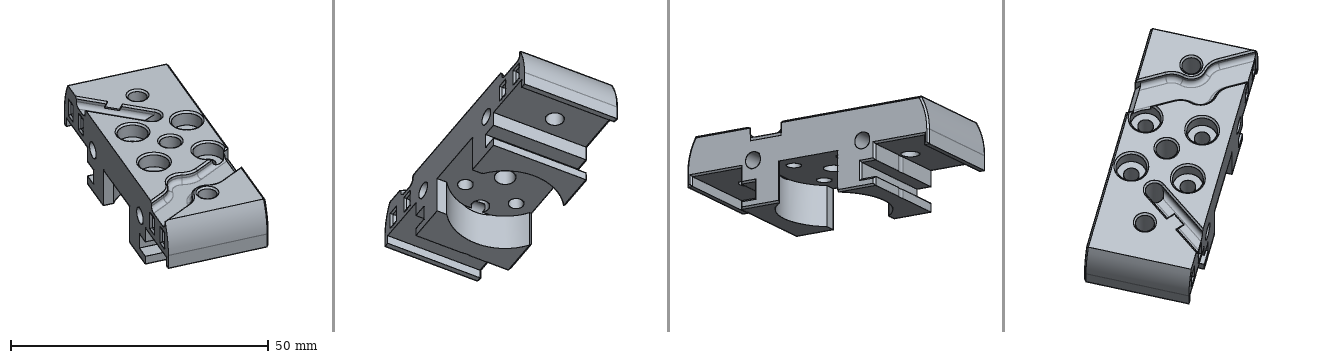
import cadquery as cq
import math

LENGTH = 55.0
DEPTH = 21.0
HEIGHT = 16.5
HALF_LENGTH = LENGTH / 2
HALF_DEPTH = DEPTH / 2
CLEAR = 0.55
EDGE_CHAMFER = 0.4

SHOULDER_HALF = 25.65
SHOULDER_Z = 9.5
SKIRT_Z = 6.5
SKIRT_WALL = 1.1
DECK_Z = 8.45
LEG_OUTER = 15.3
HOOK_INNER = 12.15
HOOK_TOP = 5.15
HOOK_BOTTOM = 1.8

RECESS_HALF = 6.95
RECESS_Z = 8.35
RECESS_RADIUS = 11.45
REAR_HALF = 6.7

HUB_X = -0.1
HUB_Y = 0.8
HUB_DIAMETER = 4.2
BOLT_PITCH_HALF = 5.65
BOLT_DIAMETER = 3.0
BOLT_BORE_DIAMETER = 6.0
BOLT_BORE_DEPTH = 3.15
SIDE_DIAMETER = 3.7
LEFT_HOLE_X = -17.5
RIGHT_HOLE_X = 19.45
LEG_RELIEF_DIAMETER = 4.7
WIRE_HOLE_X = -9.85
WIRE_DIAMETER = 3.6

CROSS_DIAMETER = 3.4
CROSS_X = 12.45
CROSS_Z = 9.5

TIE_X = 21.5
TIE_BOTTOM = 10.05
TIE_TOP = 13.1
TIE_INNER_RADIUS = 1.85
TIE_OUTER_RADIUS = 3.5

GROOVE_DEPTH = 2.0
GROOVE_FILLET = 1.0
GROOVE_REACH = 22.0
WIRE_GROOVE_ANGLE = 51.4
TAB_START = 6.65
TAB_LENGTH = 3.0
TAB_GAP = 0.2
TAB_THICKNESS = 0.35
CHANNEL_ANGLE = 59.2
CHANNEL_WIDTH = 6.05
CHANNEL_SETBACK = 0.55
BEND_RADIUS = 3.0
FLANK_RADIUS = 4.0
CHANNEL_EXIT = 1.0


def make_body():
    drop = HEIGHT - SHOULDER_Z
    inset = HALF_LENGTH - SHOULDER_HALF
    radius = (drop ** 2 + inset ** 2) / (2 * inset)
    half_angle = math.asin(drop / radius) / 2
    bulge_x = HALF_LENGTH - radius * (1 - math.cos(half_angle))
    bulge_z = SHOULDER_Z + radius * math.sin(half_angle)
    skirt_inner = HALF_LENGTH - SKIRT_WALL
    half = (
        cq.Workplane("XZ", origin=(0, HALF_DEPTH, 0))
        .moveTo(0, HEIGHT)
        .lineTo(SHOULDER_HALF, HEIGHT)
        .threePointArc((bulge_x, bulge_z), (HALF_LENGTH, SHOULDER_Z))
        .lineTo(HALF_LENGTH, SKIRT_Z)
        .lineTo(skirt_inner, SKIRT_Z)
        .lineTo(skirt_inner, DECK_Z)
        .lineTo(LEG_OUTER, DECK_Z)
        .lineTo(LEG_OUTER, HOOK_TOP)
        .lineTo(HOOK_INNER, HOOK_TOP)
        .lineTo(HOOK_INNER, HOOK_BOTTOM)
        .lineTo(LEG_OUTER, HOOK_BOTTOM)
        .lineTo(LEG_OUTER, 0)
        .lineTo(0, 0)
        .close()
        .extrude(DEPTH)
    )
    body = half.union(half.mirror("YZ")).clean()
    return body.faces(">Y").chamfer(EDGE_CHAMFER)


def recess():
    """Straight opening from front to rear, widened by a round cavity about the hub hole."""
    height = RECESS_Z + CLEAR
    front = (
        cq.Workplane("XY")
        .box(2 * RECESS_HALF, HALF_DEPTH + CLEAR, height, centered=(True, False, False))
        .translate((0, -HALF_DEPTH - CLEAR, -CLEAR))
    )
    rear = (
        cq.Workplane("XY")
        .box(2 * REAR_HALF, HALF_DEPTH + CLEAR, height, centered=(True, False, False))
        .translate((HUB_X, 0, -CLEAR))
    )
    cavity = cylinder(HUB_X, HUB_Y, 2 * RECESS_RADIUS, -CLEAR, RECESS_Z)
    return front.union(rear).union(cavity)


def cylinder(x, y, diameter, bottom, top):
    return cq.Workplane("XY", origin=(x, y, bottom)).circle(diameter / 2).extrude(top - bottom)


def countersunk_hole(x, y, diameter, bottom=-CLEAR):
    """Vertical hole from the given depth to the top face, with a chamfered mouth."""
    radius = diameter / 2
    mouth = (
        cq.Workplane("XY", origin=(x, y, HEIGHT - EDGE_CHAMFER))
        .circle(radius)
        .workplane(offset=EDGE_CHAMFER)
        .circle(radius + EDGE_CHAMFER)
        .loft()
    )
    return cylinder(x, y, diameter, bottom, HEIGHT).union(mouth)


def cross_hole(x):
    return (
        cq.Workplane("XZ", origin=(x, HALF_DEPTH + CLEAR, CROSS_Z))
        .circle(CROSS_DIAMETER / 2)
        .extrude(DEPTH + 2 * CLEAR)
    )


def tie_slot(x):
    """Half-ring tunnel between two windows with chamfered mouths."""
    slot = (
        cq.Workplane("XY", origin=(x, EDGE_CHAMFER - HALF_DEPTH, TIE_BOTTOM))
        .circle(TIE_OUTER_RADIUS)
        .circle(TIE_INNER_RADIUS)
        .extrude(TIE_TOP - TIE_BOTTOM)
    )
    width = TIE_OUTER_RADIUS - TIE_INNER_RADIUS
    height = TIE_TOP - TIE_BOTTOM
    window_offset = (TIE_OUTER_RADIUS + TIE_INNER_RADIUS) / 2
    for side in (-1, 1):
        mouth = (
            cq.Workplane("XZ", origin=(x + side * window_offset, -HALF_DEPTH, (TIE_BOTTOM + TIE_TOP) / 2))
            .rect(width + 2 * EDGE_CHAMFER, height + 2 * EDGE_CHAMFER)
            .workplane(offset=-EDGE_CHAMFER)
            .rect(width, height)
            .loft()
        )
        slot = slot.union(mouth)
    return slot


def groove_cutter(draw_outline):
    """Groove with a rounded floor and chamfered rims, from an outline drawn on the floor level."""
    trough = draw_outline().extrude(GROOVE_DEPTH).faces("<Z").edges().fillet(GROOVE_FILLET)
    rim = (
        draw_outline().extrude(EDGE_CHAMFER, taper=-45)
        .translate((0, 0, GROOVE_DEPTH - EDGE_CHAMFER))
    )
    return trough.union(rim)


def place_groove(cutter, x, y, angle):
    floor_z = HEIGHT - GROOVE_DEPTH
    return cutter.rotate((0, 0, 0), (0, 0, 1), angle).translate((x, y, floor_z))


def wire_outline():
    """Straight groove along local X with its rounded end around the origin."""
    half_width = WIRE_DIAMETER / 2
    return (
        cq.Workplane("XY")
        .moveTo(0, -half_width)
        .lineTo(GROOVE_REACH, -half_width)
        .lineTo(GROOVE_REACH, half_width)
        .lineTo(0, half_width)
        .threePointArc((-half_width, 0), (0, -half_width))
        .close()
    )


def wire_groove():
    """Straight groove from the wire hole to the front face, partly covered by a thin tab."""
    tab = cq.Workplane("XY").box(
        TAB_LENGTH, WIRE_DIAMETER, TAB_THICKNESS, centered=False
    ).translate((TAB_START, -WIRE_DIAMETER - TAB_GAP, GROOVE_DEPTH - TAB_THICKNESS))
    cutter = groove_cutter(wire_outline).cut(tab)
    return place_groove(cutter, WIRE_HOLE_X, HUB_Y, 180 + WIRE_GROOVE_ANGLE)


def channel_outline():
    """Channel along local X whose two walls share one S-bend; the right hole is the origin."""
    bend_angle = math.acos((FLANK_RADIUS + CHANNEL_SETBACK) / (FLANK_RADIUS + BEND_RADIUS))
    flank_x = (FLANK_RADIUS + BEND_RADIUS) * math.sin(bend_angle)
    joint_x = BEND_RADIUS * math.sin(bend_angle)
    joint_y = -BEND_RADIUS * math.cos(bend_angle)
    mid_x = flank_x - FLANK_RADIUS * math.sin(bend_angle / 2)
    mid_y = -CHANNEL_SETBACK - FLANK_RADIUS * (1 - math.cos(bend_angle / 2))

    def wall(sketch, shift, direction):
        """Draw one wall, running towards +X or -X as direction is 1 or -1."""
        straight_y = shift - CHANNEL_SETBACK
        return (
            sketch
            .lineTo(-direction * flank_x, straight_y)
            .threePointArc((-direction * mid_x, shift + mid_y), (-direction * joint_x, shift + joint_y))
            .threePointArc((0, shift - BEND_RADIUS), (direction * joint_x, shift + joint_y))
            .threePointArc((direction * mid_x, shift + mid_y), (direction * flank_x, straight_y))
            .lineTo(direction * GROOVE_REACH, straight_y)
        )

    sketch = cq.Workplane("XY").moveTo(-GROOVE_REACH, -CHANNEL_SETBACK)
    sketch = wall(sketch, 0, 1)
    sketch = sketch.lineTo(GROOVE_REACH, -CHANNEL_SETBACK - CHANNEL_WIDTH)
    return wall(sketch, -CHANNEL_WIDTH, -1).close()


def wide_channel():
    """Wide S-bend channel from rear to front, its floor bevelled at the rear face."""
    channel = place_groove(groove_cutter(channel_outline), RIGHT_HOLE_X, HUB_Y, -CHANNEL_ANGLE)
    column = place_groove(
        channel_outline().extrude(GROOVE_DEPTH + CHANNEL_EXIT).translate((0, 0, -CHANNEL_EXIT)),
        RIGHT_HOLE_X, HUB_Y, -CHANNEL_ANGLE,
    )
    floor_z = HEIGHT - GROOVE_DEPTH
    rise = GROOVE_DEPTH
    bevel = (
        cq.Workplane("YZ", origin=(-HALF_LENGTH, 0, 0))
        .moveTo(HALF_DEPTH, floor_z - CHANNEL_EXIT)
        .lineTo(HALF_DEPTH, floor_z + rise)
        .lineTo(HALF_DEPTH - CHANNEL_EXIT, floor_z + rise)
        .lineTo(HALF_DEPTH - CHANNEL_EXIT, floor_z)
        .close()
        .extrude(LENGTH)
    )
    return channel.union(column.intersect(bevel))


result = make_body().cut(recess())

result = result.cut(countersunk_hole(HUB_X, HUB_Y, HUB_DIAMETER))
for side_x in (LEFT_HOLE_X, RIGHT_HOLE_X):
    result = result.cut(countersunk_hole(side_x, HUB_Y, SIDE_DIAMETER))
result = result.cut(cylinder(LEFT_HOLE_X, HUB_Y, LEG_RELIEF_DIAMETER, -CLEAR, DECK_Z))

for x_sign in (-1, 1):
    result = result.cut(cross_hole(x_sign * CROSS_X))
    result = result.cut(tie_slot(x_sign * TIE_X))
    for y_sign in (-1, 1):
        bolt_x = HUB_X + x_sign * BOLT_PITCH_HALF
        bolt_y = HUB_Y + y_sign * BOLT_PITCH_HALF
        result = result.cut(cylinder(bolt_x, bolt_y, BOLT_DIAMETER, -CLEAR, HEIGHT))
        result = result.cut(
            countersunk_hole(bolt_x, bolt_y, BOLT_BORE_DIAMETER, HEIGHT - BOLT_BORE_DEPTH)
        )

result = result.cut(countersunk_hole(WIRE_HOLE_X, HUB_Y, WIRE_DIAMETER, RECESS_Z))
result = result.cut(wire_groove())
result = result.cut(wide_channel())